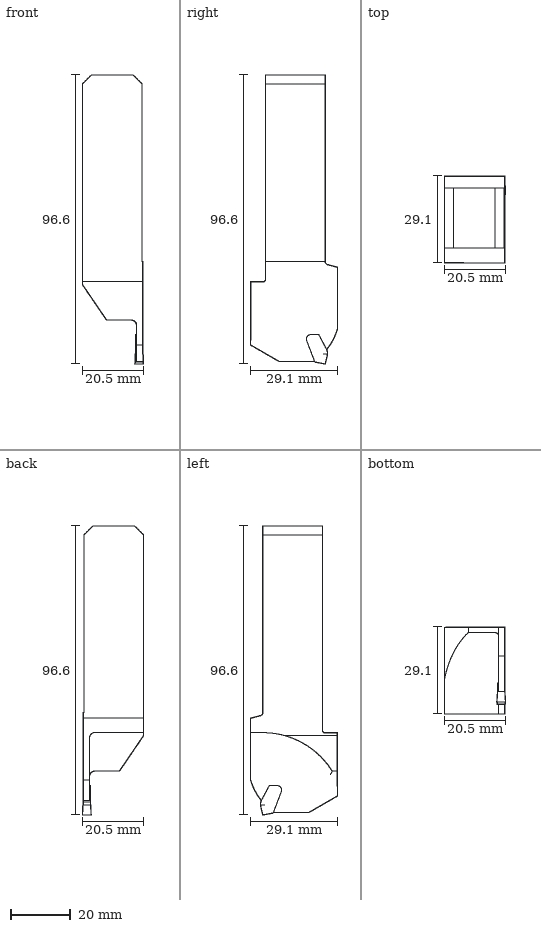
import cadquery as cq
import math


overall_height = 96.6
shank_width = 20.0
shank_half = shank_width / 2
shank_end_chamfer = 3.0

head_right = 20.25
head_back = shank_half + 4.07
head_front = -(shank_half + 4.93)
front_face_drift = 0.07
back_ledge_height = 32.4
back_ledge_angle = 15.0
back_ledge_fillet = 1.0
front_ledge_height = 27.6
front_ledge_fillet = 0.6
back_ledge_root = back_ledge_height + (head_back - shank_half) * math.tan(math.radians(back_ledge_angle))
back_fillet_reach = back_ledge_fillet * math.tan(math.radians(90 - back_ledge_angle) / 2)
head_top = back_ledge_root + back_fillet_reach

blade_left = 18.05
blade_bottom = 0.85
front_corner_height = 6.4
front_corner_angle = 30.0
back_corner_height = 11.7
back_curve_middle = (12.65, 8.2)
back_curve_end = (10.4, 4.8)
blade_end_at_insert = 7.5

pocket_arch_radius = 27.4
pocket_top = front_ledge_height
pocket_floor = 14.7
pocket_fillet = 1.7

cut_margin = 5.0

slope_top = 26.6
slope_run = 8.1

cutting_edge_y = shank_half
cutting_edge_width = 3.0
insert_body_width = 2.5
insert_middle_x = 19.0
insert_top = 9.9
insert_corner_radius = 1.5
rake_top = (10.8, 3.45)
insert_back_corner = (10.7, 4.4)
insert_back_top_y = 7.8
insert_front_top_y = 3.0
flank_end = (6.5, 0.7)
relief_start = (9.35, 3.45)


def build_shank():
    return (
        cq.Workplane("XY", origin=(0, 0, front_ledge_height))
        .box(shank_width, shank_width, overall_height - front_ledge_height, centered=(False, True, False))
        .edges("|Y and >Z")
        .chamfer(shank_end_chamfer)
    )


def head_outline():
    """Side outline of head and blade, in the YZ plane."""
    front_bottom = head_front - front_face_drift
    corner_run = (front_corner_height - blade_bottom) / math.tan(math.radians(front_corner_angle))
    ledge_angle = math.radians(back_ledge_angle)
    fillet_start_y = shank_half + back_fillet_reach * math.cos(ledge_angle)
    fillet_start_z = back_ledge_root - back_fillet_reach * math.sin(ledge_angle)
    return (
        cq.Workplane("YZ")
        .moveTo(-shank_half, head_top)
        .lineTo(-shank_half, front_ledge_height)
        .lineTo(head_front, front_ledge_height)
        .lineTo(front_bottom, front_corner_height)
        .lineTo(front_bottom + corner_run, blade_bottom)
        .lineTo(blade_end_at_insert, blade_bottom)
        .lineTo(*back_curve_end)
        .threePointArc(back_curve_middle, (head_back, back_corner_height))
        .lineTo(head_back, back_ledge_height)
        .lineTo(fillet_start_y, fillet_start_z)
        .tangentArcPoint((shank_half, head_top), relative=False)
        .close()
    )


def build_pocket():
    arch_centre_z = pocket_top - pocket_arch_radius
    floor_rise = pocket_floor - arch_centre_z
    arch_end_y = shank_half - math.sqrt(pocket_arch_radius**2 - floor_rise**2)
    diagonal = pocket_arch_radius * math.sqrt(0.5)
    cutter = (
        cq.Workplane("YZ")
        .moveTo(head_back + cut_margin, pocket_top)
        .lineTo(shank_half, pocket_top)
        .threePointArc((shank_half - diagonal, arch_centre_z + diagonal), (arch_end_y, pocket_floor))
        .lineTo(head_front - cut_margin, pocket_floor)
        .lineTo(head_front - cut_margin, -cut_margin)
        .lineTo(head_back + cut_margin, -cut_margin)
        .close()
        .extrude(blade_left)
    )
    foot = cq.selectors.BoxSelector(
        (0, head_front - cut_margin / 2, pocket_floor - pocket_fillet),
        (head_right, head_back + cut_margin, pocket_top + pocket_fillet),
    )
    return cutter.faces(">X").edges(foot).fillet(pocket_fillet)


def build_slope():
    half_length = max(head_back, -head_front) + cut_margin
    return (
        cq.Workplane("XZ")
        .polyline([(0, slope_top), (slope_run, pocket_floor), (slope_run, 0), (0, 0)])
        .close()
        .extrude(half_length, both=True)
    )


def insert_profile(width):
    """Plate with the insert's side outline, centred on the insert's middle plane."""
    plate = (
        cq.Workplane("YZ", origin=(insert_middle_x, 0, 0))
        .polyline([
            (cutting_edge_y, 0),
            rake_top,
            insert_back_corner,
            (insert_back_top_y, insert_top),
            (insert_front_top_y, insert_top),
            flank_end,
        ])
        .close()
        .extrude(width / 2, both=True)
    )
    front_top_edge = cq.selectors.NearestToPointSelector((insert_middle_x, insert_front_top_y, insert_top))
    return plate.edges("|X").edges(front_top_edge).fillet(insert_corner_radius)


def build_relieved_tip():
    """Tip that is widest at the cutting edge and narrows to the body width at the relief line."""
    line_y = flank_end[0] - relief_start[0]
    line_z = flank_end[1] - relief_start[1]
    line_length = math.hypot(line_y, line_z)
    from_edge_y = relief_start[0] - cutting_edge_y
    depth = abs(from_edge_y * line_z - relief_start[1] * line_y) / line_length
    edge_origin = (insert_middle_x, cutting_edge_y, 0)
    edge_plane = cq.Plane(origin=edge_origin, xDir=(1, 0, 0), normal=(0, line_y, line_z))
    half_edge = cutting_edge_width / 2
    half_body = insert_body_width / 2
    inward = math.copysign(depth, edge_plane.yDir.z)
    wedge = (
        cq.Workplane(edge_plane)
        .polyline([(-half_edge, 0), (half_edge, 0), (half_body, inward), (-half_body, inward)])
        .close()
        .extrude(2 * line_length, both=True)
    )
    outline = (
        cq.Workplane("YZ", origin=(insert_middle_x, 0, 0))
        .polyline([(cutting_edge_y, 0), rake_top, relief_start, flank_end])
        .close()
        .extrude(half_edge, both=True)
    )
    return wedge.intersect(outline)


def build_insert():
    return insert_profile(insert_body_width).union(build_relieved_tip())


def build_holder():
    head = head_outline().extrude(head_right)
    head = head.cut(build_pocket()).cut(build_slope())
    holder = build_shank().union(head)
    front_root = cq.selectors.NearestToPointSelector((shank_width / 2, -shank_half, front_ledge_height))
    holder = holder.edges("|X").edges(front_root).fillet(front_ledge_fillet)
    return holder.cut(insert_profile(2 * cutting_edge_width))


holder = build_holder()
insert = build_insert()

result = cq.Compound.makeCompound([holder.solids().val(), insert.solids().val()])